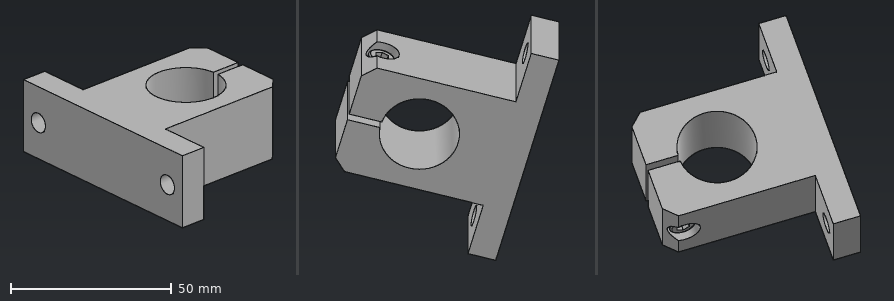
import cadquery as cq
import math

length = 74.0
depth = 58.0
height = 25.0
flange_thickness = 9.0
mount_hole_diameter = 6.6
mount_hole_spacing = 60.0

block_width = 38.25
corner_chamfer = 4.0
bore_diameter = 25.0
bore_y = 35.0
slot_width = 2.1

screw_y = depth - 6.2
counterbore_diameter = 10.0
counterbore_depth = 8.0
head_diameter = 8.5
head_recess = 2.0
head_edge_chamfer = 0.5
hex_across_flats = 4.0
hex_depth = 2.5

mid_z = height / 2
block_left = -block_width / 2


def make_body():
    flange = cq.Workplane("XY").box(length, flange_thickness, height, centered=(True, False, False))
    block = (
        cq.Workplane("XY")
        .box(block_width, depth, height, centered=(True, False, False))
        .edges("|Z and >Y")
        .chamfer(corner_chamfer)
    )
    return flange.union(block)


def cut_bore_and_slot(body):
    bore = cq.Workplane("XY").center(0, bore_y).circle(bore_diameter / 2).extrude(height)
    slot = (
        cq.Workplane("XY", origin=(0, bore_y, 0))
        .box(slot_width, depth - bore_y, height, centered=(True, False, False))
    )
    return body.cut(bore).cut(slot)


def cut_mount_holes(body):
    for side in (-1, 1):
        hole = (
            cq.Workplane("XZ", origin=(side * mount_hole_spacing / 2, 0, mid_z))
            .circle(mount_hole_diameter / 2)
            .extrude(-flange_thickness)
        )
        body = body.cut(hole)
    return body


def screw_plane(inset):
    """Workplane on the screw axis, inset from the block's -X face and facing +X."""
    return cq.Workplane("YZ", origin=(block_left + inset, screw_y, mid_z))


def make_screw_head():
    head = (
        screw_plane(head_recess)
        .circle(head_diameter / 2)
        .extrude(counterbore_depth - head_recess)
        .faces("<X")
        .chamfer(head_edge_chamfer)
    )
    socket = (
        screw_plane(head_recess)
        .transformed(rotate=(0, 0, 30))
        .polygon(6, hex_across_flats / math.cos(math.radians(30)))
        .extrude(hex_depth)
    )
    return head.cut(socket)


body = cut_mount_holes(cut_bore_and_slot(make_body()))
counterbore = screw_plane(0).circle(counterbore_diameter / 2).extrude(counterbore_depth)
result = body.cut(counterbore).union(make_screw_head())